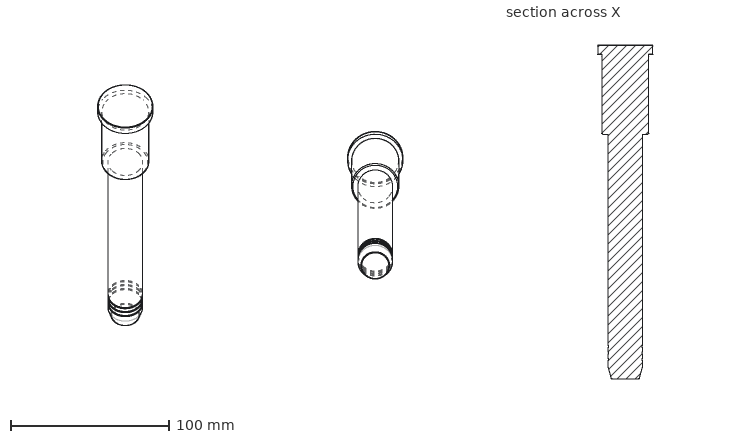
import cadquery as cq
import math

length = 211.0
head_diameter = 35.0
head_height = 6.0
head_edge_chamfer = 0.5

shank_diameter = 30.0
shank_bottom = 154.5
shank_chamfer = 0.8

undercut_width = 1.3
undercut_depth = 0.2

pin_diameter = 22.0
taper_height = 7.4
taper_angle = 15.0
tip_chamfer = 0.5

groove_count = 3
lowest_groove_height = 12.5
groove_pitch = 4.0
groove_width = 1.3
groove_depth = 0.32


def cylinder(diameter, bottom, top):
    return cq.Workplane("XY").workplane(offset=bottom).circle(diameter / 2).extrude(top - bottom)


def make_head():
    head = cylinder(head_diameter, length - head_height, length)
    return head.faces(">Z").edges().chamfer(head_edge_chamfer)


def make_shank():
    shank_top = length - head_height
    shank = cylinder(shank_diameter, shank_bottom, shank_top)
    shank = shank.faces("<Z").edges().chamfer(shank_chamfer)
    outer_radius = shank_diameter / 2
    undercut = (
        cq.Workplane("XZ")
        .moveTo(outer_radius, shank_top)
        .lineTo(outer_radius - undercut_depth, shank_top)
        .lineTo(outer_radius, shank_top - undercut_width)
        .close()
        .revolve(360, (0, 0), (0, 1))
    )
    return shank.cut(undercut)


def make_pin():
    pin_radius = pin_diameter / 2
    tip_radius = pin_radius - taper_height * math.tan(math.radians(taper_angle))
    pin = (
        cq.Workplane("XZ")
        .lineTo(tip_radius, 0)
        .lineTo(pin_radius, taper_height)
        .lineTo(pin_radius, shank_bottom)
        .lineTo(0, shank_bottom)
        .close()
        .revolve(360, (0, 0), (0, 1))
    )
    return pin.faces("<Z").edges().chamfer(tip_chamfer)


def groove_ring(height):
    pin_radius = pin_diameter / 2
    return (
        cq.Workplane("XZ")
        .moveTo(pin_radius, height - groove_width / 2)
        .lineTo(pin_radius - groove_depth, height)
        .lineTo(pin_radius, height + groove_width / 2)
        .close()
        .revolve(360, (0, 0), (0, 1))
    )


pin = make_pin()
for index in range(groove_count):
    pin = pin.cut(groove_ring(lowest_groove_height + index * groove_pitch))

result = make_head().union(make_shank()).union(pin)